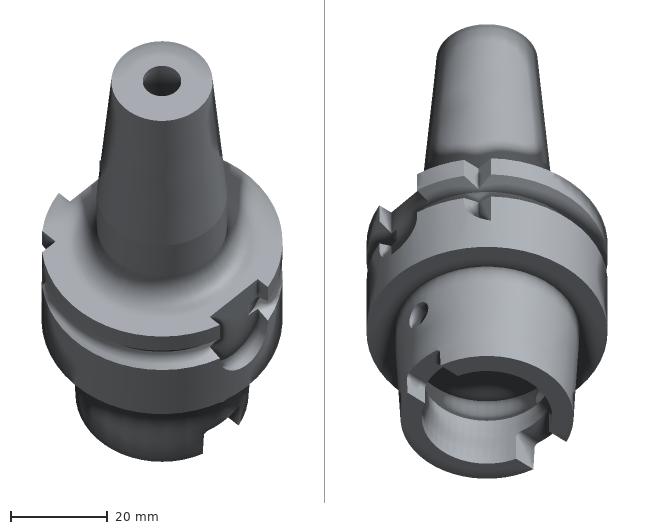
import cadquery as cq

total_height = 105
flange_radius = 25.0
flange_bottom = 25.0
flange_top = 51.0

shank_top_radius = 19.2
shank_bottom_radius = 18.0

groove_floor_radius = 21.4
groove_middle = 43.0
groove_floor_width = 3.4
groove_mouth_width = 6.5

nose_radius = 13.5
nose_tip_radius = 10.5
nose_fillet = 5.0
nose_cone_start = 67.0
bore_diameter = 8.0
bore_depth = 36.8

slot_bottom = 32.3
slot_floor_distance = 21.0
narrow_slot_width = 12.0
wide_slot_width = 14.1

notch_wall_x = -15.6
notch_wall_y = -15.5

shank_bore_radius = 13.5
undercut_radius = 16.2
undercut_start = 12.6
shank_bore_depth = 21.0
drive_slot_width = 10.5
drive_slot_fillet = 1.0
shallow_drive_slot_depth = 4.7
deep_drive_slot_depth = 7.6
cross_hole_diameter = 6.0
cross_hole_height = 17.7


def turned_body():
    """Shank, grooved flange and nose as one revolved profile."""
    floor_half = groove_floor_width / 2
    mouth_half = groove_mouth_width / 2
    fillet_end = flange_top + nose_fillet
    arc_offset = nose_fillet * (1 - 0.5**0.5)
    profile = (
        cq.Workplane("XZ")
        .lineTo(shank_bottom_radius, 0)
        .lineTo(shank_top_radius, flange_bottom)
        .lineTo(flange_radius, flange_bottom)
        .lineTo(flange_radius, groove_middle - mouth_half)
        .lineTo(groove_floor_radius, groove_middle - floor_half)
        .lineTo(groove_floor_radius, groove_middle + floor_half)
        .lineTo(flange_radius, groove_middle + mouth_half)
        .lineTo(flange_radius, flange_top)
        .lineTo(nose_radius + nose_fillet, flange_top)
        .threePointArc(
            (nose_radius + arc_offset, flange_top + arc_offset),
            (nose_radius, fillet_end),
        )
        .lineTo(nose_radius, nose_cone_start)
        .lineTo(nose_tip_radius, total_height)
        .lineTo(0, total_height)
        .close()
    )
    return profile.revolve(360, (0, 0, 0), (0, 1, 0))


def round_ended_cutter(width, middle_y, x_start, x_end):
    """Slot cutter along X: a half-round bottom, open above the flange."""
    radius = width / 2
    axis_height = slot_bottom + radius
    return (
        cq.Workplane("YZ", origin=(x_start, middle_y, 0))
        .moveTo(-radius, flange_top)
        .lineTo(-radius, axis_height)
        .threePointArc((0, slot_bottom), (radius, axis_height))
        .lineTo(radius, flange_top)
        .close()
        .extrude(x_end - x_start)
    )


def drive_slot_cutter(depth, direction):
    """Slot across one side of the shank end, with rounded upper corners."""
    return (
        cq.Workplane("XY")
        .box(flange_radius, drive_slot_width, depth, centered=(False, True, False))
        .edges("|X and >Z")
        .fillet(drive_slot_fillet)
        .rotate((0, 0, 0), (0, 0, 1), 0 if direction > 0 else 180)
    )


def cross_hole_cutter():
    """Hole through both walls of the shank along X."""
    return (
        cq.Workplane("YZ", origin=(-flange_radius, 0, cross_hole_height))
        .circle(cross_hole_diameter / 2)
        .extrude(2 * flange_radius)
    )


result = turned_body()

result = result.faces(">Z").workplane().hole(bore_diameter, bore_depth)
result = result.cut(cq.Workplane("XY").circle(shank_bore_radius).extrude(shank_bore_depth))
undercut = (
    cq.Workplane("XY", origin=(0, 0, undercut_start))
    .circle(undercut_radius)
    .extrude(shank_bore_depth - undercut_start)
)
result = result.cut(undercut)

result = result.cut(round_ended_cutter(narrow_slot_width, 0, -flange_radius, -slot_floor_distance))
result = result.cut(round_ended_cutter(wide_slot_width, 0, slot_floor_distance, flange_radius))

notch_middle_y = notch_wall_y - narrow_slot_width / 2
result = result.cut(round_ended_cutter(narrow_slot_width, notch_middle_y, -flange_radius, notch_wall_x))

result = result.cut(drive_slot_cutter(shallow_drive_slot_depth, -1))
result = result.cut(drive_slot_cutter(deep_drive_slot_depth, 1))
result = result.cut(cross_hole_cutter())